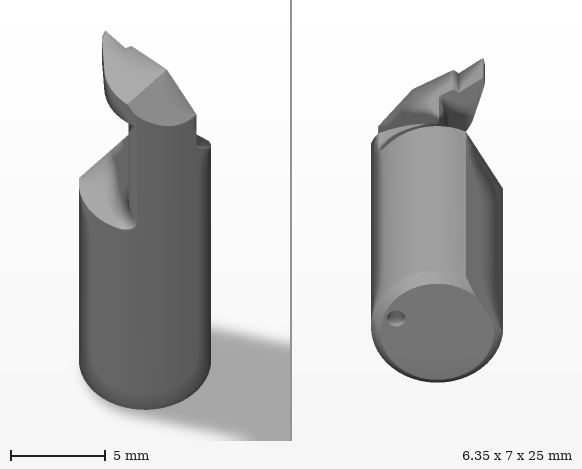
import cadquery as cq
import math

SHANK_RADIUS = 3.5
FLAT_X = -2.85
SHANK_TOP = 14.8
BASE_CHAMFER = 0.5

NECK_RADIUS = 3.05
NECK_AXIS_X = 2.88
NECK_FILLET = 0.77

TOTAL_HEIGHT = 25.0
HEAD_HEIGHT = 2.0
HEAD_BOTTOM = TOTAL_HEIGHT - HEAD_HEIGHT
HEAD_FILLET = 0.15
TIP = (-2.8, 0)
RAKE_END = (-1.18, -0.22)
RAKE_STEP_X = -1.02
TIP_LAND_END = (-2.65, -0.42)
FLANK_END = (-0.97, -2.15)
HEEL_MIDDLE = (0.35, -2.88)
HEEL_END_X = 1.94
TIP_CORNER = 0.1

SIDE_RELIEF = math.tan(math.radians(3.5))
END_RELIEF = math.tan(math.radians(1.0))

NOSE_X = 1.44

FACE_Y = 0.1
RAMP_TOP = 20.2
RAMP_ANGLE = math.radians(42)
RAMP_ROUND = 1.4

HOLE_X = 1.5
HOLE_Y = 1.77
HOLE_DIAMETER = 1.0

REACH = 10.0


def bar(bottom, top):
    """Round bar of the shank diameter between two heights."""
    return cq.Workplane("XY", origin=(0, 0, bottom)).circle(SHANK_RADIUS).extrude(top - bottom)


def half_space(origin, normal):
    """Large block on the side of a plane that its normal points to."""
    plane = cq.Plane(origin=origin, xDir=(0, 1, -normal[1] / normal[2]), normal=normal)
    return cq.Workplane(plane).rect(4 * REACH, 4 * REACH).extrude(2 * REACH)


def make_shank():
    shank = bar(0, SHANK_TOP).faces("<Z").chamfer(BASE_CHAMFER)
    flat = cq.Workplane("XY").box(REACH, 2 * REACH, TOTAL_HEIGHT, centered=(False, True, False))
    return shank.intersect(flat.translate((FLAT_X, 0, 0)))


def make_neck():
    """Offset cylinder with a concave flare at its foot, trimmed to the bar."""
    flare_radius = NECK_RADIUS + NECK_FILLET
    flare_top = SHANK_TOP + NECK_FILLET
    neck_top = HEAD_BOTTOM + HEAD_HEIGHT / 2
    bulge = NECK_FILLET * (1 - math.sqrt(0.5))
    flared_post = (
        cq.Workplane("XZ", origin=(NECK_AXIS_X, 0, 0))
        .moveTo(0, SHANK_TOP)
        .lineTo(flare_radius, SHANK_TOP)
        .threePointArc((NECK_RADIUS + bulge, SHANK_TOP + bulge), (NECK_RADIUS, flare_top))
        .lineTo(NECK_RADIUS, neck_top)
        .lineTo(0, neck_top)
        .close()
        .revolve(360, (0, 0, 0), (0, 1, 0))
    )
    return flared_post.intersect(bar(SHANK_TOP, TOTAL_HEIGHT))


def make_head():
    """Hooked cutting head with relieved top and bottom faces."""
    heel_end = (HEEL_END_X, -math.sqrt(SHANK_RADIUS**2 - HEEL_END_X**2))
    blank = (
        cq.Workplane("XY", origin=(0, 0, HEAD_BOTTOM - HEAD_HEIGHT))
        .moveTo(*TIP)
        .lineTo(*TIP_LAND_END)
        .lineTo(*FLANK_END)
        .threePointArc(HEEL_MIDDLE, heel_end)
        .lineTo(SHANK_RADIUS, heel_end[1])
        .lineTo(SHANK_RADIUS, FACE_Y)
        .lineTo(RAKE_STEP_X, FACE_Y)
        .lineTo(*RAKE_END)
        .close()
        .extrude(3 * HEAD_HEIGHT)
    )
    head = blank.intersect(bar(HEAD_BOTTOM - HEAD_HEIGHT, TOTAL_HEIGHT + HEAD_HEIGHT))
    head = head.cut(half_space((*TIP, TOTAL_HEIGHT), (END_RELIEF, -SIDE_RELIEF, 1)))
    head = head.cut(half_space((*TIP, HEAD_BOTTOM), (END_RELIEF, -SIDE_RELIEF, -1)))
    land_middle_x = (TIP[0] + TIP_LAND_END[0]) / 2
    land_middle_y = (TIP[1] + TIP_LAND_END[1]) / 2
    for height in (HEAD_BOTTOM, TOTAL_HEIGHT):
        corner = cq.selectors.NearestToPointSelector((land_middle_x, land_middle_y, height))
        head = head.edges(corner).chamfer(TIP_CORNER)
    return head


def round_under_head(body):
    """Small fillet where the neck runs into the underside of the head."""
    low = (-SHANK_RADIUS, -SHANK_RADIUS, HEAD_BOTTOM - HEAD_FILLET)
    high = (HEEL_END_X - HEAD_FILLET, FACE_Y, HEAD_BOTTOM + HEAD_HEIGHT / 4)
    neck_middle = (NECK_AXIS_X - NECK_RADIUS, 0, (SHANK_TOP + HEAD_BOTTOM) / 2)
    neck_face = body.faces(cq.selectors.NearestToPointSelector(neck_middle))
    return neck_face.edges(cq.selectors.BoxSelector(low, high)).fillet(HEAD_FILLET)


def make_nose_cut():
    """Material above the 45 degree nose slope, which also falls away toward -Y."""
    origin = (NOSE_X, FACE_Y, TOTAL_HEIGHT - END_RELIEF * (NOSE_X - TIP[0]))
    return half_space(origin, (1, -SIDE_RELIEF * math.sqrt(2), 1))


def make_face_cut():
    """Everything beyond the milled face, with a rounded start to the ramp."""
    far_y = FACE_Y + REACH
    ramp_bottom = RAMP_TOP - SHANK_RADIUS / math.tan(RAMP_ANGLE)
    cut = (
        cq.Workplane("YZ", origin=(-REACH, 0, 0))
        .moveTo(FACE_Y, TOTAL_HEIGHT + REACH)
        .lineTo(FACE_Y, RAMP_TOP)
        .lineTo(FACE_Y + SHANK_RADIUS, ramp_bottom)
        .lineTo(far_y, ramp_bottom)
        .lineTo(far_y, TOTAL_HEIGHT + REACH)
        .close()
        .extrude(2 * REACH)
    )
    start = cq.selectors.NearestToPointSelector((0, FACE_Y, RAMP_TOP))
    return cut.edges(start).fillet(RAMP_ROUND)


def make_hole():
    return (
        cq.Workplane("XY")
        .center(HOLE_X, HOLE_Y)
        .circle(HOLE_DIAMETER / 2)
        .extrude(TOTAL_HEIGHT)
    )


tool = make_neck().cut(make_face_cut()).union(make_head())
tool = round_under_head(tool)
tool = tool.cut(make_nose_cut())
result = make_shank().union(tool).cut(make_hole())